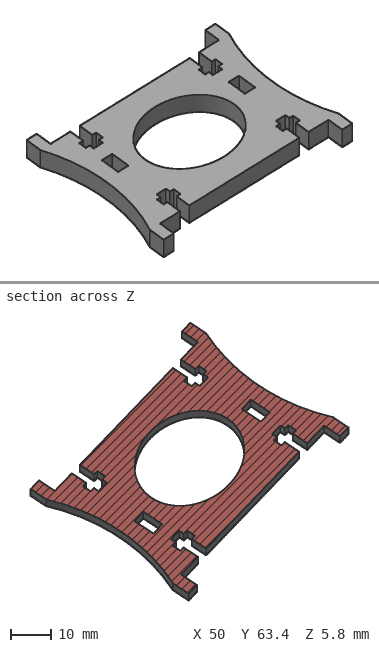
import cadquery as cq

length = 63.4
overall_width = 50.0
body_width = 40.0
thickness = 5.8
ear_height = 3.4
end_arc_depth = 4.05

opening_width = 25.0
opening_length = 30.0

slot_y = 20.0
slot_width = 3.1
slot_depth = 8.5
nut_offset = 4.6
nut_thickness = 2.4
nut_width = 5.65

window_x = -4.0
window_y = 21.3
window_width = 5.9
window_height = 3.4

half_length = length / 2
half_body = body_width / 2


def box_at(x, y, width, height):
    """Block through the full thickness, centred at (x, y)."""
    return cq.Workplane("XY").center(x, y).rect(width, height).extrude(thickness)


def end_scoop(side):
    """Segment removed from one end, between the ears."""
    end_y = side * half_length
    return (
        cq.Workplane("XY")
        .moveTo(-half_body, end_y)
        .threePointArc((0, end_y - side * end_arc_depth), (half_body, end_y))
        .close()
        .extrude(thickness)
    )


def nut_slot(side_x, side_y):
    """Cross-shaped slot entering from one long side of the body."""
    y = side_y * slot_y
    slot_x = side_x * (half_body - slot_depth / 2)
    nut_x = side_x * (half_body - nut_offset - nut_thickness / 2)
    slot = box_at(slot_x, y, slot_depth, slot_width)
    return slot.union(box_at(nut_x, y, nut_thickness, nut_width))


plate = box_at(0, 0, body_width, length)
for side_y in (-1, 1):
    bar_y = side_y * (half_length - ear_height / 2)
    plate = plate.union(box_at(0, bar_y, overall_width, ear_height))

opening = cq.Workplane("XY").ellipse(opening_width / 2, opening_length / 2).extrude(thickness)
plate = plate.cut(opening)

for side_y in (-1, 1):
    plate = plate.cut(end_scoop(side_y))
    plate = plate.cut(box_at(window_x, side_y * window_y, window_width, window_height))
    for side_x in (-1, 1):
        plate = plate.cut(nut_slot(side_x, side_y))

result = plate